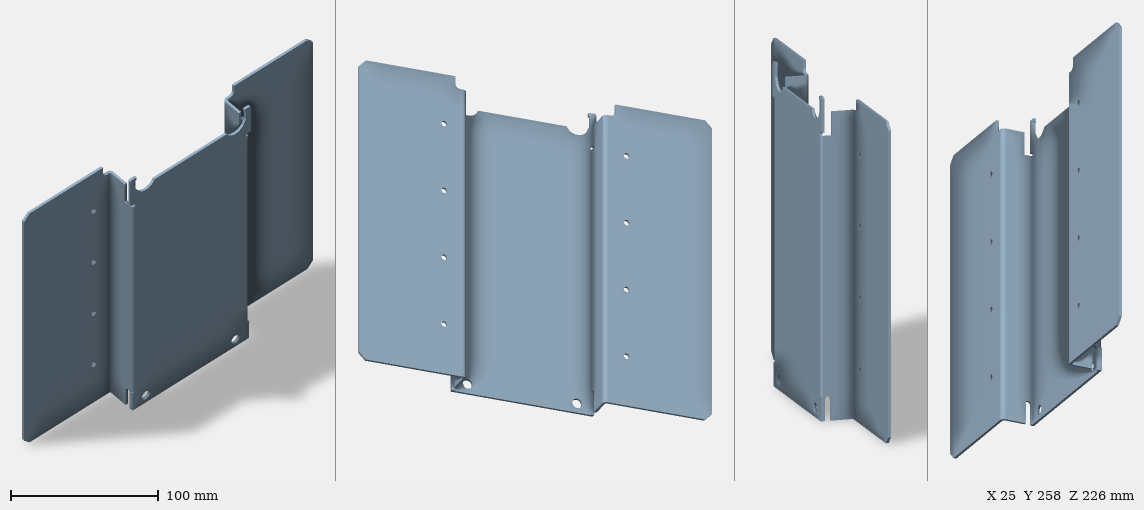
import cadquery as cq
import math

DEPTH = 25.0
WIDTH = 258.0
HEIGHT = 226.0
SHEET = 2.0
HALF_WIDTH = WIDTH / 2
CUT_MARGIN = 1.0

WEB_INNER_Y = 50.0
WEB_OUTER_Y = WEB_INNER_Y + SHEET
WEB_HEIGHT = 215.0
WING_BEND_INNER = 1.0
WING_BEND_OUTER = WING_BEND_INNER + SHEET
PLATE_BEND_INNER = 0.5
PLATE_BEND_OUTER = 2.0
PLATE_FRONT_X = DEPTH - SHEET
PLATE_X_RANGE = (PLATE_FRONT_X, DEPTH)
PLATE_EDGE_Y = WEB_INNER_Y - PLATE_BEND_INNER

WING_HEIGHT = 224.0
WING_CHAMFER = 5.0
WING_NOTCH_Y = 58.5
WING_NOTCH_RADIUS = 3.5
WING_HOLE_DIAMETER = 4.0
WING_HOLE_Y = 66.7
WING_HOLE_FIRST_Z = 37.0
WING_HOLE_PITCH = 50.0
WING_HOLE_COUNT = 4

PLATE_HEIGHT = 213.0
PLATE_HOLE_DIAMETER = 7.0
PLATE_HOLE_Y = 40.0
PLATE_HOLE_Z = 7.0
SCALLOP_RADIUS = 8.5
SCALLOP_Z = 216.5
SCALLOP_FLARE_Z = 216.0

TAB_OUTER_Y = 54.0
TAB_INNER_Y = 49.3
TAB_BOTTOM_Z = 201.4
TAB_CORNER_RADIUS = 1.0
TAB_TOP_RADIUS = 1.5
HOOK_INNER_Y = 48.4
HOOK_HEIGHT = 2.5

UPPER_NOTCH_X = 17.0
UPPER_NOTCH_Z = 198.3
LOWER_SLOT_X = 18.0
LOWER_SLOT_WIDTH = 4.0
LOWER_SLOT_TOP_Z = 17.0


def box(x_range, y_range, z_range):
    """Axis-aligned block between pairs of limits."""
    lengths = [high - low for low, high in (x_range, y_range, z_range)]
    corner = (x_range[0], y_range[0], z_range[0])
    return cq.Workplane("XY").box(*lengths, centered=False).translate(corner)


def wing():
    """Flat outer flange with chamfered outer corners, a notch and a row of holes."""
    bend_edge = WEB_OUTER_Y + WING_BEND_INNER
    body = box((0, SHEET), (bend_edge, HALF_WIDTH), (0, WING_HEIGHT))
    body = body.edges("|X and >Y").chamfer(WING_CHAMFER)
    notch = box(
        (-CUT_MARGIN, SHEET + CUT_MARGIN),
        (WEB_INNER_Y - WING_NOTCH_RADIUS, WING_NOTCH_Y),
        (WEB_HEIGHT, HEIGHT),
    )
    notch = notch.edges("|X and >Y and <Z").fillet(WING_NOTCH_RADIUS)
    hole_centres = [
        (WING_HOLE_Y, WING_HOLE_FIRST_Z + row * WING_HOLE_PITCH) for row in range(WING_HOLE_COUNT)
    ]
    holes = cq.Workplane("YZ").pushPoints(hole_centres).circle(WING_HOLE_DIAMETER / 2).extrude(SHEET)
    return body.cut(notch).cut(holes)


def bend_profile():
    """Cross-section of the web and both of its bends, swept straight up."""
    wing_edge = WEB_OUTER_Y + WING_BEND_INNER
    return (
        cq.Workplane("XY")
        .moveTo(0, wing_edge)
        .radiusArc((WING_BEND_OUTER, WEB_INNER_Y), -WING_BEND_OUTER)
        .lineTo(PLATE_FRONT_X - PLATE_BEND_INNER, WEB_INNER_Y)
        .radiusArc((PLATE_FRONT_X, PLATE_EDGE_Y), PLATE_BEND_INNER)
        .lineTo(DEPTH, PLATE_EDGE_Y)
        .lineTo(DEPTH, WEB_OUTER_Y - PLATE_BEND_OUTER)
        .radiusArc((DEPTH - PLATE_BEND_OUTER, WEB_OUTER_Y), -PLATE_BEND_OUTER)
        .lineTo(WING_BEND_OUTER, WEB_OUTER_Y)
        .radiusArc((SHEET, wing_edge), WING_BEND_INNER)
        .close()
    )


def lower_slot():
    """Round-topped slot that frees the foot of the web from the plate."""
    radius = LOWER_SLOT_WIDTH / 2
    middle_x = LOWER_SLOT_X + radius
    arc_z = LOWER_SLOT_TOP_Z - radius
    cut_depth = 2 * SHEET + CUT_MARGIN
    return (
        cq.Workplane("XZ", origin=(0, WEB_OUTER_Y + CUT_MARGIN, 0))
        .moveTo(LOWER_SLOT_X, -CUT_MARGIN)
        .lineTo(LOWER_SLOT_X, arc_z)
        .threePointArc((middle_x, LOWER_SLOT_TOP_Z), (LOWER_SLOT_X + LOWER_SLOT_WIDTH, arc_z))
        .lineTo(LOWER_SLOT_X + LOWER_SLOT_WIDTH, -CUT_MARGIN)
        .close()
        .extrude(cut_depth)
    )


def web():
    """Bent web with its upper notch and its round-ended lower slot."""
    body = bend_profile().extrude(WEB_HEIGHT)
    square_corner = box(PLATE_X_RANGE, (WEB_INNER_Y, WEB_OUTER_Y), (0, LOWER_SLOT_TOP_Z))
    across_web = (WEB_INNER_Y - SHEET, WEB_OUTER_Y + CUT_MARGIN)
    upper_notch = box((UPPER_NOTCH_X, DEPTH), across_web, (UPPER_NOTCH_Z, HEIGHT))
    return body.union(square_corner).cut(upper_notch).cut(lower_slot())


def tab():
    """Upright tab beside the scallop, with a small inward hook at its top."""
    stem = box(PLATE_X_RANGE, (TAB_INNER_Y, TAB_OUTER_Y), (TAB_BOTTOM_Z, HEIGHT - HOOK_HEIGHT))
    stem = stem.edges("|X and >Y and <Z").fillet(TAB_CORNER_RADIUS)
    hook = box(PLATE_X_RANGE, (HOOK_INNER_Y, TAB_OUTER_Y), (HEIGHT - HOOK_HEIGHT, HEIGHT))
    return stem.union(hook.edges("|X and >Y and >Z").fillet(TAB_TOP_RADIUS))


def relief_end():
    """Concave round end of the relief slot between a tab and the bend below it."""
    radius = (TAB_BOTTOM_Z - UPPER_NOTCH_Z) / 2
    y_range = (PLATE_EDGE_Y, PLATE_EDGE_Y + radius)
    filler = box(PLATE_X_RANGE, y_range, (UPPER_NOTCH_Z, TAB_BOTTOM_Z))
    round_end = (
        cq.Workplane("YZ", origin=(PLATE_FRONT_X, 0, 0))
        .center(PLATE_EDGE_Y + radius, UPPER_NOTCH_Z + radius)
        .circle(radius)
        .extrude(SHEET)
    )
    return filler.cut(round_end)


def scallop():
    """Round scallop whose outer side flares in a straight tangent to the foot of the tab."""
    flare_run = TAB_INNER_Y - PLATE_HOLE_Y
    flare_rise = SCALLOP_FLARE_Z - SCALLOP_Z
    flare_distance = math.hypot(flare_run, flare_rise)
    tangent_angle = math.atan2(flare_rise, flare_run) - math.acos(SCALLOP_RADIUS / flare_distance)
    tangent_point = (
        PLATE_HOLE_Y + SCALLOP_RADIUS * math.cos(tangent_angle),
        SCALLOP_Z + SCALLOP_RADIUS * math.sin(tangent_angle),
    )
    base = cq.Workplane("YZ", origin=(PLATE_FRONT_X, 0, 0))
    circle = base.center(PLATE_HOLE_Y, SCALLOP_Z).circle(SCALLOP_RADIUS).extrude(SHEET)
    flare = (
        base.moveTo(PLATE_HOLE_Y, SCALLOP_Z)
        .lineTo(*tangent_point)
        .lineTo(TAB_INNER_Y, SCALLOP_FLARE_Z)
        .lineTo(PLATE_HOLE_Y, SCALLOP_FLARE_Z)
        .close()
        .extrude(SHEET)
    )
    return circle.union(flare)


def half_plate():
    """Half of the back plate with its scallop, hole and tab."""
    body = box(PLATE_X_RANGE, (0, PLATE_EDGE_Y), (0, PLATE_HEIGHT))
    tab_foot = box(PLATE_X_RANGE, (PLATE_HOLE_Y, PLATE_EDGE_Y), (0, SCALLOP_FLARE_Z))
    hole = (
        cq.Workplane("YZ", origin=(PLATE_FRONT_X, 0, 0))
        .center(PLATE_HOLE_Y, PLATE_HOLE_Z)
        .circle(PLATE_HOLE_DIAMETER / 2)
        .extrude(SHEET)
    )
    return body.union(tab_foot).cut(scallop()).cut(hole).union(tab()).union(relief_end())


half = half_plate().union(web()).union(wing())
result = half.union(half.mirror("XZ"))